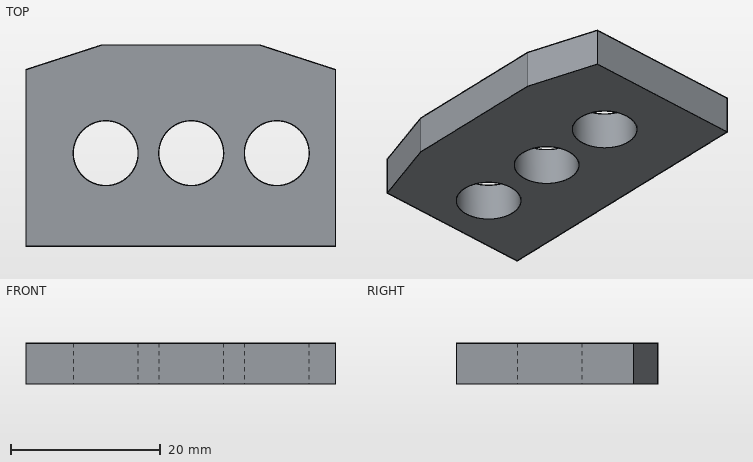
import cadquery as cq

length = 41.4
width = 26.92
thickness = 5.5

corner_run = 10.16
corner_drop = 3.3

hole_diameter = 8.64
hole_count = 3
hole_pitch = 11.43
first_hole_x = 10.67
hole_row_y = 12.45


def make_plate():
    """Plate with its front left bottom corner at the origin and both rear corners cut off."""
    shoulder_y = width - corner_drop
    outline = [
        (0, 0),
        (length, 0),
        (length, shoulder_y),
        (length - corner_run, width),
        (corner_run, width),
        (0, shoulder_y),
    ]
    return cq.Workplane("XY").polyline(outline).close().extrude(thickness)


def make_holes():
    """Cylinders for the evenly spaced row of through holes."""
    centers = [(first_hole_x + i * hole_pitch, hole_row_y) for i in range(hole_count)]
    return cq.Workplane("XY").pushPoints(centers).circle(hole_diameter / 2).extrude(thickness)


result = make_plate().cut(make_holes())